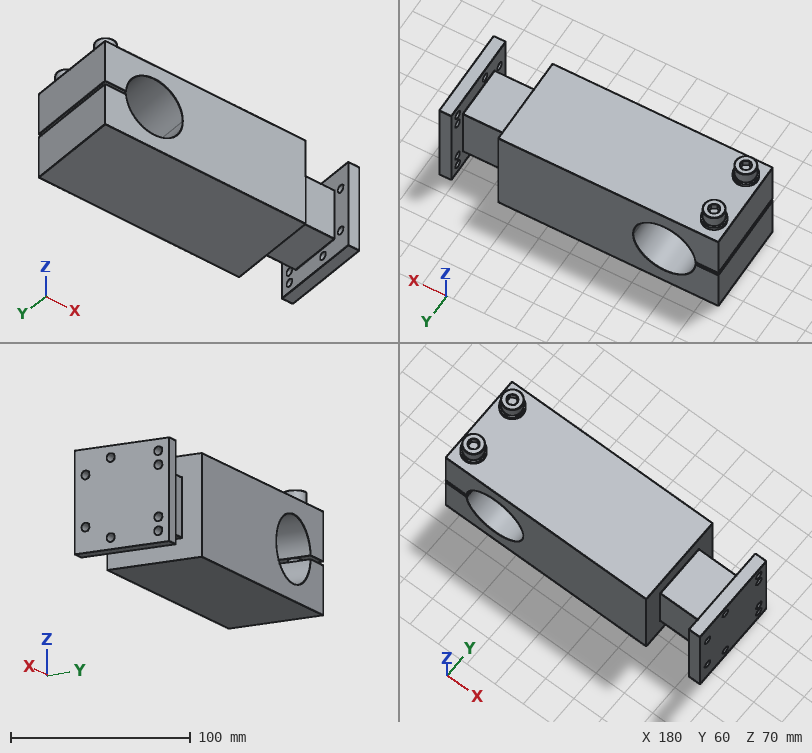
import cadquery as cq
import math


total_length = 180.0
body_width = 60.0
plate_thickness = 8.0
neck_length = 30.0
neck_width = 35.0
plate_x = total_length - plate_thickness
block_length = plate_x - neck_length
block_top = body_width / 2

bore_diameter = 40.0
bore_x = 35.0
slot_height = 2.0

edge_break = 0.2

plate_hole_diameter = 5.0
hole_spacing_long = 46.0
hole_spacing_short = 30.0
wide_pattern_y = 0.0
tall_pattern_y = 8.0

screw_x = 10.0
screw_spacing = 35.0
shank_diameter = 8.0
shank_length = 50.0
head_diameter = 13.0
head_height = 8.0
head_chamfer = 0.4
socket_flats = 6.0
socket_mouth_diameter = socket_flats / math.cos(math.pi / 6)
socket_mouth_depth = 0.4
socket_depth = 4.0
washer_diameter = 15.0
washer_hole_diameter = 8.1
washer_thickness = 2.0
washer_top = block_top + washer_thickness
shank_bottom = washer_top - shank_length

screw_positions = [(screw_x, side * screw_spacing / 2) for side in (-1, 1)]


def box_along_x(start, length, width):
    """Square bar centred on the X axis."""
    return cq.Workplane("YZ", origin=(start, 0, 0)).rect(width, width).extrude(length)


def cylinder_up(x, y, bottom, diameter, height):
    return cq.Workplane("XY", origin=(x, y, bottom)).circle(diameter / 2).extrude(height)


def make_plate_holes(pattern_y, width, height):
    """Holes through the plate at the corners of a rectangle, width along Y and height along Z."""
    corners = cq.Workplane("YZ", origin=(plate_x, pattern_y, 0))
    corners = corners.rect(width, height, forConstruction=True).vertices()
    return corners.circle(plate_hole_diameter / 2).extrude(plate_thickness, combine=False)


def make_arm():
    arm = box_along_x(0, block_length, body_width)
    arm = arm.union(box_along_x(block_length, neck_length, neck_width))
    arm = arm.union(box_along_x(plate_x, plate_thickness, body_width))

    bore = cq.Workplane("XZ").center(bore_x, 0).circle(bore_diameter / 2).extrude(body_width / 2, both=True)
    slot = cq.Workplane("XY").box(bore_x, body_width, slot_height, centered=(False, True, True))
    arm = arm.cut(bore).cut(slot).edges().chamfer(edge_break)

    arm = arm.cut(make_plate_holes(wide_pattern_y, hole_spacing_long, hole_spacing_short))
    arm = arm.cut(make_plate_holes(tall_pattern_y, hole_spacing_short, hole_spacing_long))
    for x, y in screw_positions:
        arm = arm.cut(cylinder_up(x, y, shank_bottom, shank_diameter, block_top - shank_bottom))
    return arm


def make_washer(x, y):
    hole = cylinder_up(x, y, block_top, washer_hole_diameter, washer_thickness)
    return cylinder_up(x, y, block_top, washer_diameter, washer_thickness).cut(hole)


def make_socket(x, y, top):
    """Hexagonal recess, a corner towards +Y, with a conical mouth out to its corners."""
    hexagon = cq.Workplane("XY", origin=(x, y, top)).transformed(rotate=(0, 0, 30))
    hexagon = hexagon.polygon(6, socket_mouth_diameter).extrude(-socket_depth)
    mouth = cq.Workplane("XY", origin=(x, y, top)).circle(socket_mouth_diameter / 2)
    mouth = mouth.workplane(offset=-socket_mouth_depth).circle(socket_flats / 2).loft()
    return hexagon.union(mouth)


def make_screw(x, y):
    head = cylinder_up(x, y, washer_top, head_diameter, head_height).edges("%CIRCLE").chamfer(head_chamfer)
    shank = cylinder_up(x, y, shank_bottom, shank_diameter, shank_length)
    return head.union(shank).cut(make_socket(x, y, washer_top + head_height))


arm = make_arm()
washers = [make_washer(x, y) for x, y in screw_positions]
screws = [make_screw(x, y) for x, y in screw_positions]

result = cq.Compound.makeCompound([body.val() for body in [arm, *washers, *screws]])